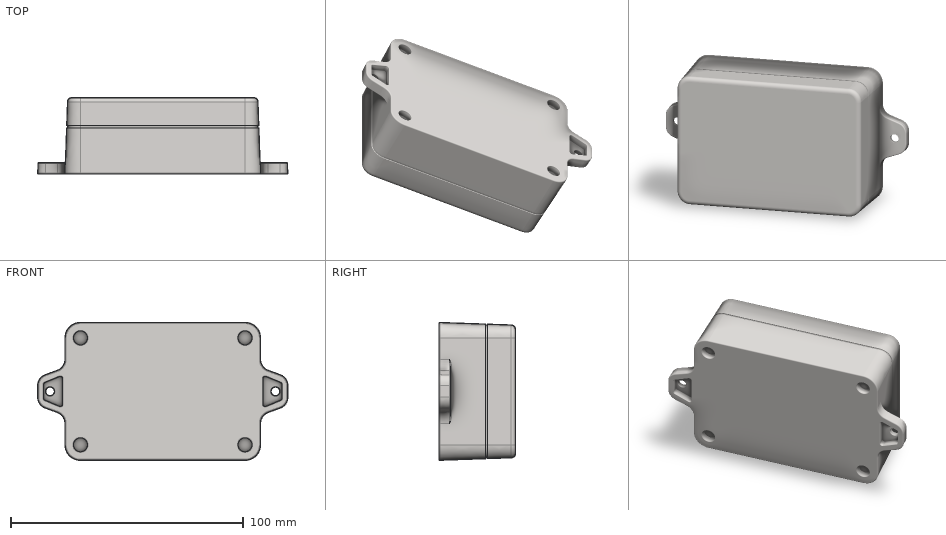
import cadquery as cq
import math


body_length = 84.2
body_height = 59.4
body_depth = 33.0
wall_draft = 2.0
corner_radius = 6.7
front_edge_radius = 0.5
lid_edge_radius = 2.0

groove_start = 20.0
groove_width = 1.0
groove_depth = 0.4

screw_spacing_x = 70.8
screw_spacing_z = 46.0
screw_diameter = 6.0
screw_depth = 3.0

overall_length = 107.7
tab_thickness = 5.0
tab_tip_height = 12.0
tab_flank_angle = 20.0
tab_blend_radius = 5.0
tab_back_edge_radius = 0.5
tab_junction_radius = 0.5
tab_hole_diameter = 3.7
tab_hole_x = 48.5

recess_inner_x = 43.1
recess_outer_x = 51.3
recess_outer_height = 7.2
recess_flank_angle = 22.5
recess_corner_radius = 1.0
recess_floor_radius = 0.2
recess_depth = 3.0

lip_radius = 0.2

position_tolerance = 0.001


def depth_plane(y):
    """Workplane parallel to the front face at depth y, facing +Y."""
    return cq.Workplane(cq.Plane(origin=(0, y, 0), xDir=(1, 0, 0), normal=(0, 1, 0)))


def trapezoid(x_wide, x_narrow, narrow_height, flank_angle):
    """Corner points of a trapezoid centred on the X axis that narrows towards x_narrow."""
    half_narrow = narrow_height / 2
    half_wide = half_narrow + abs(x_narrow - x_wide) * math.tan(math.radians(flank_angle))
    return [
        (x_wide, -half_wide),
        (x_narrow, -half_narrow),
        (x_narrow, half_narrow),
        (x_wide, half_wide),
        (x_wide, -half_wide),
    ]


def fillet_edges(part, condition, radius):
    """Round every edge of the part that satisfies the condition."""
    edges = [edge for edge in part.edges().vals() if condition(edge)]
    return part.newObject(edges).fillet(radius)


def body_sketch(inset=0.0):
    """Rounded outline of the body at the front face, optionally offset inwards."""
    sketch = cq.Sketch().rect(body_length - 2 * inset, body_height - 2 * inset)
    return sketch.vertices().fillet(corner_radius - inset)


def make_body():
    """Drafted block with a rounded lid edge."""
    body = depth_plane(0).placeSketch(body_sketch()).extrude(body_depth, taper=wall_draft)
    return body.faces(">Y").edges().fillet(lid_edge_radius)


def make_base_plate():
    """Front slab of the body together with both mounting tabs."""
    tip_x = overall_length / 2
    tip_z = tab_tip_height / 2
    middle_z = tip_z + tip_x * math.tan(math.radians(tab_flank_angle))
    tabs_outline = [
        (tip_x, -tip_z),
        (tip_x, tip_z),
        (0, middle_z),
        (-tip_x, tip_z),
        (-tip_x, -tip_z),
        (0, -middle_z),
        (tip_x, -tip_z),
    ]
    sketch = cq.Sketch().rect(body_length, body_height).polygon(tabs_outline).clean()
    sketch = sketch.vertices("not (>Y or <Y)").fillet(tab_blend_radius).reset()
    sketch = sketch.vertices(">Y or <Y").fillet(corner_radius).reset()
    plate = depth_plane(0).placeSketch(sketch).extrude(tab_thickness, taper=wall_draft)
    return plate.faces(">Y").edges().fillet(tab_back_edge_radius)


def make_groove():
    """Ring that is cut around the side walls at the parting line."""
    ring = depth_plane(groove_start).rect(overall_length, 2 * body_height).extrude(groove_width)
    core = depth_plane(0).placeSketch(body_sketch(groove_depth)).extrude(body_depth, taper=wall_draft)
    return ring.cut(core)


def make_screw_holes():
    """Blind holes at the four corners."""
    holes = depth_plane(0).rect(screw_spacing_x, screw_spacing_z, forConstruction=True)
    return holes.vertices().circle(screw_diameter / 2).extrude(screw_depth)


def is_hole_mouth(edge):
    """True for the circle where a tab hole opens into the floor of its recess."""
    at_floor = abs(edge.Center().y - recess_depth) < position_tolerance
    return at_floor and abs(edge.Length() - math.pi * tab_hole_diameter) < position_tolerance


def make_tab_cutout(side):
    """Recess and through hole of the tab on the given side (+1 or -1 along X)."""
    points = trapezoid(
        side * recess_inner_x, side * recess_outer_x, recess_outer_height, recess_flank_angle
    )
    outline = cq.Sketch().polygon(points).vertices().fillet(recess_corner_radius)
    recess = depth_plane(0).placeSketch(outline).extrude(recess_depth)
    recess = recess.faces(">Y").edges().fillet(recess_floor_radius)
    hole = depth_plane(0).center(side * tab_hole_x, 0).circle(tab_hole_diameter / 2)
    cutout = recess.union(hole.extrude(tab_thickness))
    return fillet_edges(cutout, is_hole_mouth, lip_radius)


def is_tab_junction(edge):
    """True where the back of a tab meets the body wall."""
    wall_x = body_length / 2 - tab_thickness * math.tan(math.radians(wall_draft))
    centre = edge.Center()
    at_tab_back = abs(centre.y - tab_thickness) < position_tolerance
    return at_tab_back and abs(abs(centre.x) - wall_x) < position_tolerance


def round_front_mouths(part):
    """Round the rims of all openings in the front face."""
    front_face = part.faces("<Y").val()
    rims = [edge for wire in front_face.innerWires() for edge in wire.Edges()]
    return part.newObject(rims).fillet(lip_radius)


enclosure = make_body().union(make_base_plate())
enclosure = fillet_edges(enclosure, is_tab_junction, tab_junction_radius)
enclosure = enclosure.faces("<Y").edges().fillet(front_edge_radius)
enclosure = enclosure.cut(make_groove()).cut(make_screw_holes())
for tab_side in (1, -1):
    enclosure = enclosure.cut(make_tab_cutout(tab_side))

result = round_front_mouths(enclosure)